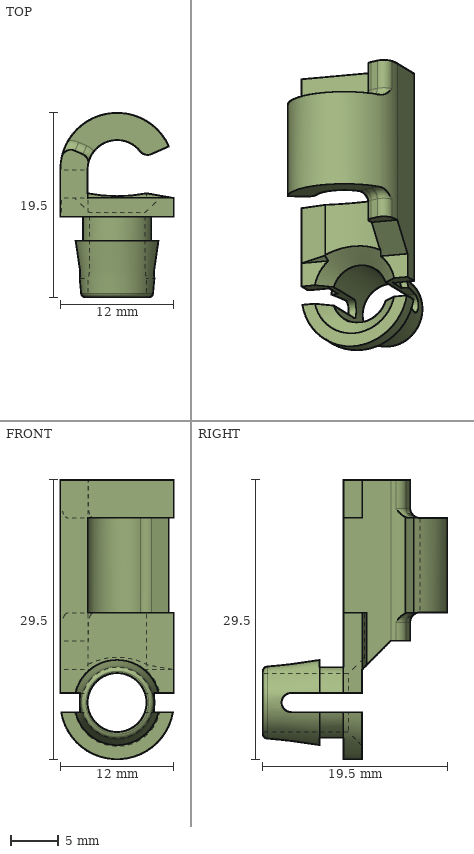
import cadquery as cq
import math


width = 12.0
plate_thickness = 2.0
plate_top = 23.5
arm_bottom = 6.5
half_width = width / 2

rod_radius = 3.1
rod_y = 5.0
hook_radius = half_width
hook_angle = 24.0
end_round = 1.0
step_fillet = 1.0

window_bottom = 9.5
window_height = 10.0
window_top = window_bottom + window_height

saddle_crest = 2.5
saddle_valley = 2.2

neck_radius = 3.75
barb_radius = 4.5
barb_mid_radius = 4.07
tip_radius = 3.78
barb_start = -2.5
tip_y = -8.5
barb_mid_y = (barb_start + tip_y) / 2
tip_round = 0.5
flange_radius = half_width
bore_radius = 3.1
bore_flare = 1.5

slot_width = 2.0
slot_end = -6.5


def hook_point(radius, angle):
    """Point at a polar position about the rod axis."""
    turn = math.radians(angle)
    return (radius * math.cos(turn), rod_y + radius * math.sin(turn))


def hook_outline(end_angle):
    """Plate, arm and hook in plan, with the hook ending at end_angle."""
    middle_angle = (180 + end_angle) / 2
    return (
        cq.Workplane("XY")
        .moveTo(half_width, 0)
        .lineTo(-half_width, 0)
        .lineTo(-half_width, rod_y)
        .threePointArc(hook_point(hook_radius, middle_angle), hook_point(hook_radius, end_angle))
        .lineTo(*hook_point(rod_radius, end_angle))
        .threePointArc(hook_point(rod_radius, middle_angle), (-rod_radius, rod_y))
        .lineTo(-rod_radius, plate_thickness)
        .lineTo(half_width, plate_thickness)
        .close()
    )


def vertical_prism(outline, bottom, top):
    return outline.extrude(top - bottom).translate((0, 0, bottom))


def edge_at(point):
    """Selector for the vertical edge through a plan point."""
    reach = 0.1
    tall = 2 * plate_top
    x, y = point
    return cq.selectors.BoxSelector((x - reach, y - reach, -tall), (x + reach, y + reach, tall))


def make_arm():
    """Full-height plate and arm, and the shorter hook that joins the arm end with fillets."""
    end_angle = 180 - hook_angle
    arm = vertical_prism(hook_outline(end_angle), 0, plate_top)
    for radius in (hook_radius, rod_radius):
        arm = arm.edges("|Z").edges(edge_at(hook_point(radius, end_angle))).fillet(end_round)

    slab_size = 4 * width
    slab = (
        cq.Workplane("XY")
        .box(slab_size, slab_size, window_height, centered=(True, True, False))
        .translate((0, 0, window_bottom))
    )
    flared = arm.union(slab)
    for level in (window_bottom, window_top):
        at_level = cq.selectors.BoxSelector(
            (-width, -width, level - step_fillet / 2), (width, width, level + step_fillet / 2)
        )
        flared = flared.edges(at_level).fillet(step_fillet)

    envelope = vertical_prism(hook_outline(hook_angle), 0, plate_top)
    envelope = envelope.edges("|Z").edges(edge_at(hook_point(rod_radius, hook_angle))).fillet(end_round)
    return flared.intersect(envelope)


def make_saddle():
    """Shallow rod seat between the arm and a crest that slopes off to the free edge."""
    outline = (
        cq.Workplane("XY")
        .moveTo(-rod_radius, 0)
        .lineTo(-rod_radius, saddle_crest)
        .threePointArc((0, saddle_valley), (rod_radius, saddle_crest))
        .lineTo(half_width, plate_thickness)
        .lineTo(half_width, 0)
        .close()
    )
    return vertical_prism(outline, 0, window_bottom)


def make_lower_relief():
    """Space below the arm: flat under the hook, then a 45 degree slope down to the plate."""
    slope_rise = rod_y - plate_thickness
    return (
        cq.Workplane("YZ")
        .moveTo(plate_thickness, 0)
        .lineTo(plate_thickness, arm_bottom - slope_rise)
        .lineTo(rod_y, arm_bottom)
        .lineTo(2 * width, arm_bottom)
        .lineTo(2 * width, 0)
        .close()
        .extrude(width, both=True)
    )


def make_window():
    return (
        cq.Workplane("XY")
        .box(width, plate_thickness, window_height, centered=False)
        .translate((-rod_radius, 0, window_bottom))
    )


def make_peg():
    """Round flange, neck and tapered, slightly hollow barb, turned about the Y axis."""
    peg = (
        cq.Workplane("XY")
        .moveTo(0, plate_thickness)
        .lineTo(flange_radius, plate_thickness)
        .lineTo(flange_radius, 0)
        .lineTo(neck_radius, 0)
        .lineTo(neck_radius, barb_start)
        .lineTo(barb_radius, barb_start)
        .threePointArc((barb_mid_radius, barb_mid_y), (tip_radius, tip_y))
        .lineTo(0, tip_y)
        .close()
        .revolve(360, (0, 0, 0), (0, 1, 0))
    )
    return peg.faces("<Y").edges().fillet(tip_round)


def make_bore():
    """Through bore with a 45 degree flare that opens past the back of the plate."""
    flare_start = plate_thickness - bore_flare
    flare_length = saddle_crest - flare_start
    return (
        cq.Workplane("XY")
        .moveTo(0, tip_y)
        .lineTo(bore_radius, tip_y)
        .lineTo(bore_radius, flare_start)
        .lineTo(bore_radius + flare_length, saddle_crest)
        .lineTo(0, saddle_crest)
        .close()
        .revolve(360, (0, 0, 0), (0, 1, 0))
    )


def make_slot():
    """Slot across the peg, open at the back of the plate and round at its front end."""
    round_radius = slot_width / 2
    round_y = slot_end + round_radius
    return (
        cq.Workplane("YZ")
        .moveTo(plate_thickness, round_radius)
        .lineTo(round_y, round_radius)
        .threePointArc((slot_end, 0), (round_y, -round_radius))
        .lineTo(plate_thickness, -round_radius)
        .close()
        .extrude(width, both=True)
    )


body = make_arm().union(make_saddle()).cut(make_lower_relief()).cut(make_window())
result = body.union(make_peg()).cut(make_bore()).cut(make_slot())